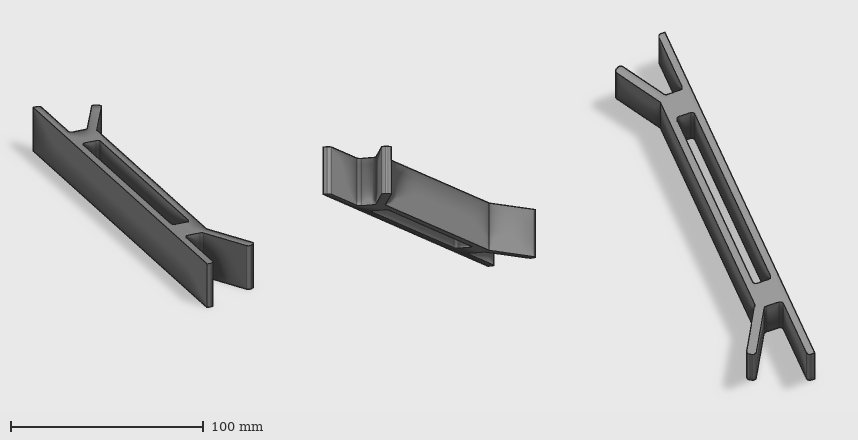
import cadquery as cq
import math

length = 212.0
depth = 32.6
height = 25.0
wall = 4.0
body_depth = 18.0
flange_reach = 36.0
web_width = 14.8
arm_thickness = 5.0
arm_angle = math.radians(30)
corner_radius = 2.0

half_length = length / 2
web_x = half_length - flange_reach
pocket_x = web_x - web_width
root_y = body_depth - wall

arm_rise = math.sin(arm_angle)
normal_x = -arm_rise
normal_y = math.cos(arm_angle)

shoulder_x = web_x + (
    (body_depth - root_y) * normal_y - arm_thickness
) / arm_rise

tip_round_drop = corner_radius * (normal_y + arm_rise - 1)
tip_outer_y = depth + tip_round_drop
tip_outer_x = shoulder_x + (tip_outer_y - body_depth) / math.tan(arm_angle)
tip_inner_x = tip_outer_x - arm_thickness * normal_x
tip_inner_y = tip_outer_y - arm_thickness * normal_y


def round_corners(solid, corners, radius):
    """Fillet the vertical edges at the given right-hand corners and their mirrors."""
    for x, y in corners:
        for side in (-1, 1):
            edge = cq.selectors.NearestToPointSelector((side * x, y, height / 2))
            solid = solid.edges("|Z").edges(edge).fillet(radius)
    return solid


def make_profile():
    right_side = [
        (half_length, 0),
        (half_length, wall),
        (web_x, wall),
        (web_x, root_y),
        (tip_inner_x, tip_inner_y),
        (tip_outer_x, tip_outer_y),
        (shoulder_x, body_depth),
    ]
    left_side = [(-x, y) for x, y in reversed(right_side)]
    solid = cq.Workplane("XY").polyline(right_side + left_side).close().extrude(height)
    rounded = [
        (half_length, wall),
        (web_x, wall),
        (web_x, root_y),
        (tip_inner_x, tip_inner_y),
        (tip_outer_x, tip_outer_y),
    ]
    return round_corners(solid, rounded, corner_radius)


def make_pocket():
    pocket_depth = root_y - wall
    return (
        cq.Workplane("XY")
        .center(0, wall + pocket_depth / 2)
        .rect(2 * pocket_x, pocket_depth)
        .extrude(height)
        .edges("|Z")
        .fillet(corner_radius)
    )


result = make_profile().cut(make_pocket())